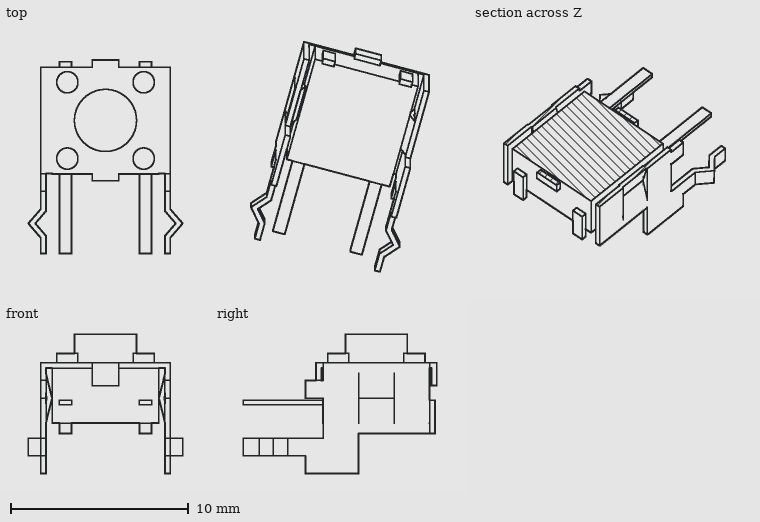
import cadquery as cq
import math


overall_length = 10.9

sheet = 0.3
bracket_width = 7.3
bracket_depth = 6.0
wall_height = 4.0

lip_width = 1.5
lip_height = 1.3
lip_overhang = 0.4

leg_setback = 1.0
leg_bottom = 6.25
ear_length = 1.0
ear_top = 1.0
ear_bottom = 2.02
arm_top = 4.25
arm_bottom = 5.25
kink_start = 4.99
kink_half_length = 0.81
kink_rise = 0.7

spring_width = 2.01
spring_top = 0.6
spring_height = 2.81

block_width = 6.01
block_front_overhang = 0.03
block_bottom = 3.4
button_diameter = 3.5
button_height = 1.6
stud_diameter = 1.2
stud_height = 0.51
stud_spacing = 4.3
pin_width = 0.7
pin_thickness = 0.27
pin_spacing = 4.5
pin_top = 2.11
tail_thickness = 0.3

wall_outer = bracket_width / 2
wall_inner = wall_outer - sheet
bracket_rear = bracket_depth / 2
bracket_front = -bracket_depth / 2
lip_rear = bracket_rear + lip_overhang
tip_front = lip_rear - overall_length
ear_front = bracket_front - ear_length
spring_depth = wall_inner - block_width / 2
block_front = bracket_front - block_front_overhang


def box(x_range, y_range, z_range):
    """Axis-aligned box between the given pairs of limits."""
    (x0, x1), (y0, y1), (z0, z1) = x_range, y_range, z_range
    return cq.Workplane("XY").box(x1 - x0, y1 - y0, z1 - z0, centered=False).translate((x0, y0, z0))


def top_cylinders():
    """Button and four studs, rising from the underside of the top plate."""
    base = cq.Workplane("XY").workplane(offset=-sheet)
    button = base.circle(button_diameter / 2).extrude(button_height + sheet)
    studs = (
        base.rarray(stud_spacing, stud_spacing, 2, 2)
        .circle(stud_diameter / 2)
        .extrude(stud_height + sheet)
    )
    return button.union(studs)


def lip(side):
    """Lip at the rear (side = 1) or front (side = -1): a short shelf folded downward."""
    half_width = lip_width / 2
    return (
        cq.Workplane("YZ")
        .moveTo(0, 0)
        .lineTo(side * lip_rear, 0)
        .lineTo(side * lip_rear, -lip_height)
        .lineTo(side * (lip_rear - sheet), -lip_height)
        .lineTo(side * (lip_rear - sheet), -sheet)
        .lineTo(0, -sheet)
        .close()
        .extrude(half_width, both=True)
    )


def flat_wall():
    """Right-hand side wall with its ear and leg, cut from flat sheet."""
    outline = [
        (bracket_rear, 0),
        (bracket_front, 0),
        (bracket_front, -ear_top),
        (ear_front, -ear_top),
        (ear_front, -ear_bottom),
        (bracket_front, -ear_bottom),
        (bracket_front, -arm_top),
        (ear_front, -arm_top),
        (ear_front, -leg_bottom),
        (-leg_setback, -leg_bottom),
        (-leg_setback, -wall_height),
        (bracket_rear, -wall_height),
    ]
    return cq.Workplane("YZ", origin=(wall_inner, 0, 0)).polyline(outline).close().extrude(sheet)


def clip_arm():
    """Right-hand clip arm: a strip of constant thickness with one outward kink."""
    bend = math.atan2(kink_rise, kink_half_length)
    shift = sheet * math.tan(bend / 2)
    crest_thickness = sheet / math.cos(bend)
    kink_crest = kink_start + kink_half_length
    kink_end = kink_crest + kink_half_length
    crest = wall_outer + kink_rise
    outline = [
        (wall_outer, ear_front),
        (wall_outer, -kink_start),
        (crest, -kink_crest),
        (wall_outer, -kink_end),
        (wall_outer, tip_front),
        (wall_inner, tip_front),
        (wall_inner, -kink_end + shift),
        (crest - crest_thickness, -kink_crest),
        (wall_inner, -kink_start - shift),
        (wall_inner, ear_front),
    ]
    base = cq.Workplane("XY", origin=(0, 0, -arm_bottom))
    return base.polyline(outline).close().extrude(arm_bottom - arm_top)


def spring_wedge(face):
    """Triangular prism pointing inward from the wall face at X = face."""
    outline = [
        (face, -spring_top),
        (face - spring_depth, -spring_top - spring_height / 2),
        (face, -spring_top - spring_height),
    ]
    return cq.Workplane("XZ").polyline(outline).close().extrude(spring_width / 2, both=True)


def side_wall():
    """Complete right-hand side wall."""
    wall = flat_wall().union(clip_arm())
    return wall.union(spring_wedge(wall_inner)).cut(spring_wedge(wall_outer))


def make_bracket():
    """Folded bracket with holes that closely fit the button and studs."""
    bracket = box((-wall_outer, wall_outer), (bracket_front, bracket_rear), (-sheet, 0))
    right_wall = side_wall()
    bracket = bracket.union(right_wall).union(right_wall.mirror("YZ"))
    for side in (-1, 1):
        bracket = bracket.union(lip(side))
    return bracket.cut(top_cylinders())


def pin(x):
    """Straight pin through the block, with its tail bent down behind the block."""
    x_range = (x - pin_width / 2, x + pin_width / 2)
    tail_rear = bracket_rear + tail_thickness
    blade = box(x_range, (tip_front, tail_rear), (-pin_top - pin_thickness, -pin_top))
    tail = box(x_range, (bracket_rear, tail_rear), (-wall_height, -pin_top))
    return blade.union(tail)


def make_switch():
    """Moulded block with its button, studs and two pins."""
    half_width = block_width / 2
    switch = box((-half_width, half_width), (block_front, bracket_rear), (-block_bottom, -sheet))
    switch = switch.union(top_cylinders())
    for x in (-pin_spacing / 2, pin_spacing / 2):
        switch = switch.union(pin(x))
    return switch


bracket = make_bracket()
switch = make_switch()

result = cq.Compound.makeCompound([bracket.solids().val(), switch.solids().val()])